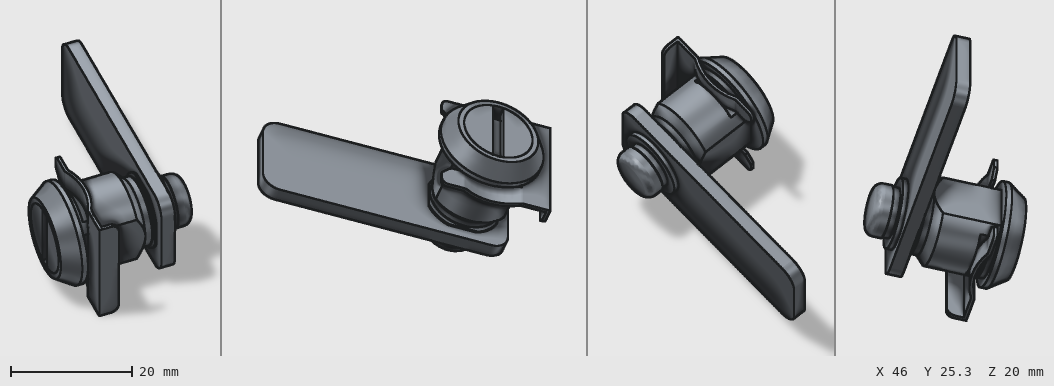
import cadquery as cq
import math


head_radius = 9.0
head_face_radius = 7.0
head_bevel_depth = 3.0
head_depth = 4.0
barrel_radius = 7.5
barrel_flat_width = 12.0
barrel_end = 14.0
nose_radius = barrel_flat_width / 2
nose_start = barrel_end + barrel_radius - nose_radius
nose_end = 17.2
nose_chamfer = 0.5
counterbore_depth = 3.0
notch_start = 5.0
notch_end = 7.1
notch_floor = 6.0

rotor_head_radius = 6.0
rotor_head_depth = 1.5
rotor_stem_radius = 4.5
slot_width = 1.8

spacer_radius = 6.5
spacer_width = 2 * nose_radius
spacer_thickness = 0.25
spacer_back = nose_end + spacer_thickness
lever_left = -35.0
lever_height = 16.0
lever_right = lever_height / 2
lever_thickness = 2.4
lever_corner_radius = 3.0
lever_clearance = 0.1
lever_front = spacer_back + lever_clearance
lever_back = lever_front + lever_thickness

flange_radius = 6.0
flange_thickness = 0.9
neck_radius = 4.3
neck_length = 1.2
cap_radius = 4.5
crown_radius = 15.0
crown_edge_fillet = 1.5
screw_end = 25.27
cap_start = lever_back + flange_thickness + neck_length

clip_left = -8.0
clip_right = 11.0
clip_height = 20.0
clip_thickness = 0.6
clip_front = 5.2
clip_tab_end = 8.7
clip_corner_radius = 1.0
clip_tab_corner_radius = 1.5
bow_center_x = 1.0
bow_half_width = 4.9
bow_rise = 1.25
bow_bend_radius = 0.6
clip_slot_half = notch_floor
clip_slot_end = barrel_flat_width / 2
clip_lead_in = 1.5


def disc(radius, start, end):
    """Cylinder on the lock axis between two Y positions."""
    return cq.Workplane("XZ", origin=(0, start, 0)).circle(radius).extrude(start - end)


def block(x_range, y_range, z_range):
    """Box between pairs of X, Y and Z positions."""
    sizes = [high - low for low, high in (x_range, y_range, z_range)]
    corner = (x_range[0], y_range[0], z_range[0])
    return cq.Workplane("XY").box(*sizes, centered=False).translate(corner)


def revolve_about_axis(profile):
    """Turn a profile drawn as (radius, Y) through a full circle about the lock axis."""
    return profile.close().revolve(360, (0, 0, 0), (0, 1, 0))


def make_housing():
    body = revolve_about_axis(
        cq.Workplane("XY").polyline(
            [
                (0, 0),
                (head_face_radius, 0),
                (head_radius, head_bevel_depth),
                (head_radius, head_depth),
                (barrel_radius, head_depth),
                (barrel_radius, barrel_end),
                (nose_radius, nose_start),
                (nose_radius, nose_end - nose_chamfer),
                (nose_radius - nose_chamfer, nose_end),
                (0, nose_end),
            ]
        )
    )
    half_flat = barrel_flat_width / 2
    barrel_length = (head_depth, nose_end)
    full_height = (-barrel_radius, barrel_radius)
    for side in (-1, 1):
        flat_x = sorted((side * half_flat, side * head_radius))
        body = body.cut(block(flat_x, barrel_length, full_height))
        notch_z = sorted((side * notch_floor, side * head_radius))
        body = body.cut(block((-head_radius, head_radius), (notch_start, notch_end), notch_z))
    body = body.cut(disc(rotor_head_radius, 0, counterbore_depth))
    return body.cut(disc(rotor_stem_radius, 0, nose_end))


def make_rotor():
    slot_x = (-slot_width / 2, slot_width / 2)
    slot_z = (-rotor_head_radius, rotor_head_radius)
    head = disc(rotor_head_radius, 0, rotor_head_depth)
    head = head.cut(block(slot_x, (0, rotor_head_depth), slot_z))
    return head.union(disc(rotor_stem_radius, rotor_head_depth, lever_back))


def make_spacer():
    half = spacer_width / 2
    square = block((-half, half), (nose_end, spacer_back), (-half, half))
    plate = disc(spacer_radius, nose_end, spacer_back).intersect(square)
    return plate.cut(disc(rotor_stem_radius, nose_end, spacer_back))


def make_lever():
    half = lever_height / 2
    plate = block((lever_left, lever_right), (lever_front, lever_back), (-half, half))
    plate = plate.edges("|Y").fillet(lever_corner_radius)
    return plate.cut(disc(rotor_stem_radius, lever_front, lever_back))


def make_screw():
    crown_center = screw_end - crown_radius
    cap_edge = crown_center + math.sqrt(crown_radius**2 - cap_radius**2)
    crown_mid_angle = math.asin(cap_radius / crown_radius) / 2
    crown_mid = (
        crown_radius * math.sin(crown_mid_angle),
        crown_center + crown_radius * math.cos(crown_mid_angle),
    )
    cap = revolve_about_axis(
        cq.Workplane("XY")
        .moveTo(0, cap_start)
        .lineTo(cap_radius, cap_start)
        .lineTo(cap_radius, cap_edge)
        .threePointArc(crown_mid, (0, screw_end))
    )
    rim = cq.selectors.NearestToPointSelector((0, cap_edge, 0))
    cap = cap.edges("%CIRCLE").edges(rim).fillet(crown_edge_fillet)
    flange_end = lever_back + flange_thickness
    flange = disc(flange_radius, lever_back, flange_end)
    return flange.union(disc(neck_radius, flange_end, cap_start)).union(cap)


def make_clip():
    clip_back = clip_front + clip_thickness
    front_radius = (bow_half_width**2 + bow_rise**2) / (2 * bow_rise)
    back_radius = front_radius + clip_thickness
    bow_center_y = clip_front + bow_rise - front_radius
    back_half_width = math.sqrt(back_radius**2 - (clip_back - bow_center_y) ** 2)
    strip = (
        cq.Workplane("XY", origin=(0, 0, -clip_height / 2))
        .moveTo(clip_left, clip_front)
        .lineTo(bow_center_x - bow_half_width, clip_front)
        .threePointArc(
            (bow_center_x, bow_center_y + front_radius),
            (bow_center_x + bow_half_width, clip_front),
        )
        .lineTo(clip_right, clip_front)
        .lineTo(clip_right, clip_tab_end)
        .lineTo(clip_right - clip_thickness, clip_tab_end)
        .lineTo(clip_right - clip_thickness, clip_back)
        .lineTo(bow_center_x + back_half_width, clip_back)
        .threePointArc(
            (bow_center_x, bow_center_y + back_radius),
            (bow_center_x - back_half_width, clip_back),
        )
        .lineTo(clip_left, clip_back)
        .close()
        .extrude(clip_height)
    )
    bend_faces = (
        (clip_front, bow_half_width, bow_bend_radius + clip_thickness),
        (clip_back, back_half_width, bow_bend_radius),
    )
    for face_y, half_width, radius in bend_faces:
        for side in (-1, 1):
            bend_x = bow_center_x + side * half_width
            strip = strip.edges(cq.selectors.NearestToPointSelector((bend_x, face_y, 0))).fillet(radius)

    strip = strip.faces("<X").edges("|Y").fillet(clip_corner_radius)
    strip = strip.faces(">Y").edges("|X").fillet(clip_tab_corner_radius)

    mouth_half = clip_slot_half + clip_lead_in
    lead_in_end = clip_left + clip_lead_in
    slot = (
        cq.Workplane("XZ")
        .polyline(
            [
                (clip_left, mouth_half),
                (lead_in_end, clip_slot_half),
                (clip_slot_end, clip_slot_half),
                (clip_slot_end, -clip_slot_half),
                (lead_in_end, -clip_slot_half),
                (clip_left, -mouth_half),
            ]
        )
        .close()
        .extrude(-clip_tab_end)
    )
    return strip.cut(slot)


housing = make_housing()
rotor = make_rotor()
spacer = make_spacer()
lever = make_lever()
screw = make_screw()
clip = make_clip()

result = cq.Compound.makeCompound(
    [housing.val(), rotor.val(), spacer.val(), lever.val(), screw.val(), clip.val()]
)